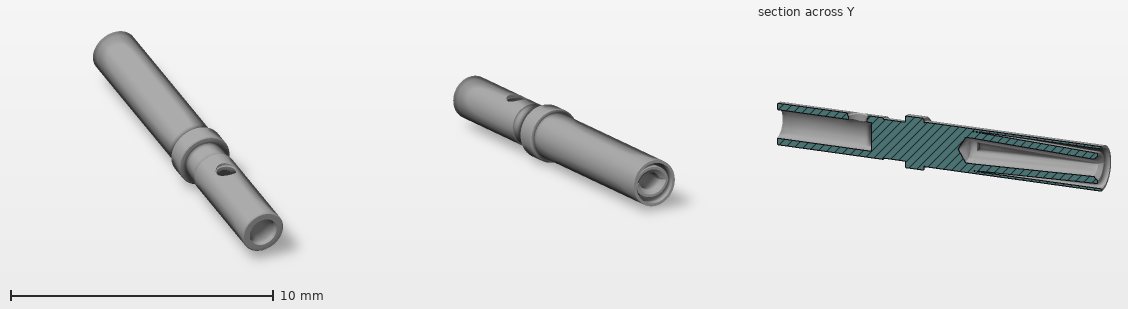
import cadquery as cq
import math

length = 13.41

sleeve_diameter = 1.82
collar_diameter = 2.12
neck_diameter = 1.6
barrel_diameter = 1.7
collar_start = 7.35
collar_width = 0.78
barrel_start = 9.01
edge_chamfer = 0.04

crimp_bore_diameter = 1.14
crimp_bore_depth = 3.89
inspection_hole_diameter = 0.74
inspection_hole_chamfer = 0.04
inspection_hole_x = 10.08

socket_diameter = 1.6
pin_bore_diameter = 1.02
tine_recess = 0.2
tine_root_x = 5.36
root_overlap = 0.13
pin_bore_end = 5.63
drill_point_angle = 118.0
lead_in = 0.16
tip_chamfer = 0.03
tip_deflection = 0.17
tip_gap = 0.03


def cylinder(start, end, diameter):
    """Cylinder on the X axis between two stations."""
    return cq.Workplane("YZ", origin=(start, 0, 0)).circle(diameter / 2).extrude(end - start)


def make_outer_body():
    collar_end = collar_start + collar_width
    sleeve = cylinder(0, collar_start, sleeve_diameter).faces(">X").chamfer(edge_chamfer)
    collar = cylinder(collar_start, collar_end, collar_diameter).faces("<X or >X").chamfer(edge_chamfer)
    neck = cylinder(collar_end, barrel_start, neck_diameter)
    barrel = cylinder(barrel_start, length, barrel_diameter).faces(">X").chamfer(edge_chamfer)
    return sleeve.union(collar).union(neck).union(barrel)


def make_pin_bore():
    """Blind bore behind the tines, ending in a drill point."""
    radius = pin_bore_diameter / 2
    bore_start = tine_root_x - root_overlap
    point_depth = radius / math.tan(math.radians(drill_point_angle / 2))
    outline = [
        (bore_start, 0),
        (bore_start, radius),
        (pin_bore_end, radius),
        (pin_bore_end + point_depth, 0),
    ]
    return cq.Workplane("XY").polyline(outline).close().revolve(360, (0, 0, 0), (1, 0, 0))


def make_upper_tine():
    """Half tube bent toward the axis so that its tip nearly meets its twin."""
    outer = socket_diameter / 2
    inner = pin_bore_diameter / 2
    root = tine_root_x + root_overlap
    outline = [
        (tine_recess, inner + lead_in),
        (tine_recess, outer - tip_chamfer),
        (tine_recess + tip_chamfer, outer),
        (root, outer),
        (root, inner),
        (tine_recess + lead_in, inner),
    ]
    tube = cq.Workplane("XY").polyline(outline).close().revolve(360, (0, 0, 0), (1, 0, 0))
    slot_half_width = tip_deflection + tip_gap / 2
    keep = cq.Workplane("XY", origin=(0, 0, slot_half_width)).rect(
        2 * length, 2 * socket_diameter
    ).extrude(socket_diameter)
    bend_angle = math.degrees(math.atan(tip_deflection / (tine_root_x - tine_recess)))
    pivot = (tine_root_x, 0, 0)
    return tube.intersect(keep).rotate(pivot, (tine_root_x, 1, 0), -bend_angle)


def cut_inspection_hole(solid):
    """Radial hole through the upper wall of the crimp barrel, with its rim countersunk."""
    hole_radius = inspection_hole_diameter / 2
    rim_radius = hole_radius + inspection_hole_chamfer
    barrel_radius = barrel_diameter / 2
    rim_z = math.sqrt(barrel_radius**2 - rim_radius**2)
    outline = [
        (0, 0),
        (hole_radius, 0),
        (hole_radius, rim_z - inspection_hole_chamfer),
        (rim_radius, rim_z),
        (rim_radius, barrel_diameter),
        (0, barrel_diameter),
    ]
    cutter = cq.Workplane("XZ").polyline(outline).close().revolve(360, (0, 0, 0), (0, 1, 0))
    return solid.cut(cutter.translate((inspection_hole_x, 0, 0)))


body = make_outer_body()
body = body.cut(cylinder(0, tine_root_x, socket_diameter))
body = body.cut(make_pin_bore())
body = body.cut(cylinder(length - crimp_bore_depth, length, crimp_bore_diameter))
body = cut_inspection_hole(body)

upper_tine = make_upper_tine()
lower_tine = upper_tine.mirror("XY")
result = body.union(upper_tine).union(lower_tine)